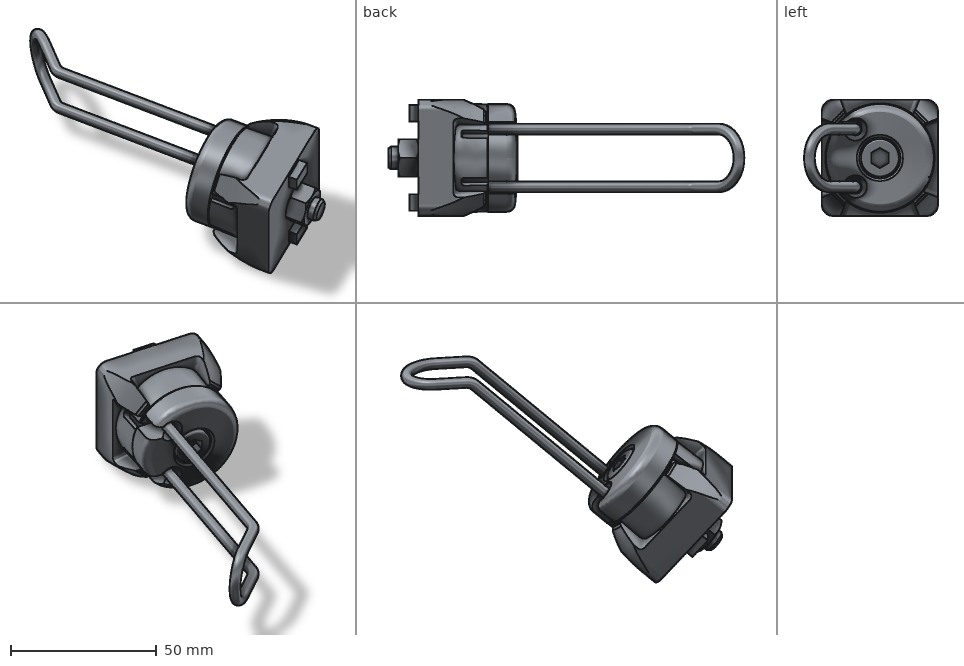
import cadquery as cq
import math

AXIS = cq.Vector(1, 0, 0)
MARGIN = 1.2

wire_diameter = 3.8
leg_y = 8.5
leg_z = 9.9
bail_front_x = -112.0
assembly_depth_y = 46.1
bend_angle = 45.0
bend_radius = 4.0

cap_radius = 18.6
cap_rear_x = -24.0
cap_front_x = -34.1
cap_cone_angle = 6.0
cap_rim_fillet = 3.0
slot_width = 4.4
slot_center_z = 10.2
wire_sink_diameter = 8.0
wire_sink_depth = 3.2
head_hole_radius = 7.1
head_lip_radius = 8.0

plate_side = 40.0
plate_front_x = -12.0
corner_radius = 4.0
collar_front_x = -23.6
collar_front_radius = 18.5
collar_rear_radius = 18.8
land_radius = 17.7
horn_tip_x = -23.1
horn_tip_radius = 19.6
horn_shoulder = (-22.4, 20.4)
horn_middle = (-15.3, 23.9)
horn_end = (-4.0, 26.5)
gap_half_width = 13.6
gap_flank_angle = 22.0
gap_floor_angle = 11.0
gap_depth = 9.2
gap_fillet = 1.8
groove_angle = 26.0
groove_width = 2.9
groove_depth = 2.5
groove_end_x = -14.8
groove_end_fillet = 1.0

lug_width = 8.1
lug_inner_z = 12.5
lug_outer_z = 18.2
lug_length = 3.0

screw_diameter = 8.0
screw_end_x = 10.3
screw_end_diameter = 6.6
screw_end_taper = 1.0
head_diameter = 13.0
head_length = 8.0
head_fillet = 0.7
socket_flats = 6.0
socket_depth = 4.0
nut_flats = 13.0
nut_length = 7.0
nut_chamfer_angle = 30.0


def cylinder_x(radius, x_start, x_end, y=0.0, z=0.0):
    """Cylinder along X between two x positions."""
    return cq.Workplane(cq.Solid.makeCylinder(radius, x_end - x_start, cq.Vector(x_start, y, z), AXIS))


def cone_x(radius_start, radius_end, x_start, x_end, y=0.0, z=0.0):
    """Truncated cone along X between two x positions."""
    return cq.Workplane(
        cq.Solid.makeCone(radius_start, radius_end, x_end - x_start, cq.Vector(x_start, y, z), AXIS)
    )


def hexagon_x(across_flats, x_start, x_end, turn):
    """Hexagonal prism along X, turned about the axis by an angle in degrees."""
    across_corners = across_flats / math.cos(math.radians(30))
    prism = cq.Workplane("YZ", origin=(x_start, 0, 0)).polygon(6, across_corners).extrude(x_end - x_start)
    return prism.rotate((0, 0, 0), (1, 0, 0), turn)


def block(x_range, y_range, z_range):
    """Box between pairs of limits."""
    sizes = [high - low for low, high in (x_range, y_range, z_range)]
    corner = cq.Vector(x_range[0], y_range[0], z_range[0])
    return cq.Workplane(cq.Solid.makeBox(*sizes, corner))


def make_bail():
    """U-shaped wire with two straight legs, its closed end bent up towards +Y."""
    slope = math.radians(bend_angle)
    apex_x = bail_front_x + wire_diameter / 2
    apex_y = assembly_depth_y - plate_side / 2 - wire_diameter / 2
    corner_x = apex_x + (apex_y - leg_y) / math.tan(slope)
    bend_tangent = bend_radius * math.tan(slope / 2)

    def on_slope(distance, z):
        return cq.Vector(corner_x - distance * math.cos(slope), leg_y + distance * math.sin(slope), z)

    def on_bend(z):
        bend_x = corner_x + bend_tangent - bend_radius * math.sin(slope / 2)
        return cq.Vector(bend_x, leg_y + bend_radius * (1 - math.cos(slope / 2)), z)

    slope_length = (apex_y - leg_y) / math.sin(slope) - leg_z
    edges = []
    for z in (leg_z, -leg_z):
        leg_end = cq.Vector(cap_rear_x, leg_y, z)
        bend_start = cq.Vector(corner_x + bend_tangent, leg_y, z)
        bend_end = on_slope(bend_tangent, z)
        edges.append(cq.Edge.makeLine(leg_end, bend_start))
        edges.append(cq.Edge.makeThreePointArc(bend_start, on_bend(z), bend_end))
        edges.append(cq.Edge.makeLine(bend_end, on_slope(slope_length, z)))
    edges.append(
        cq.Edge.makeThreePointArc(
            on_slope(slope_length, leg_z), cq.Vector(apex_x, apex_y, 0), on_slope(slope_length, -leg_z)
        )
    )
    path = cq.Wire.assembleEdges(edges)
    profile = cq.Workplane("YZ", origin=(cap_rear_x, leg_y, leg_z)).circle(wire_diameter / 2)
    return profile.sweep(cq.Workplane(path))


def make_cap():
    """Domed clamp cap with the screw recess and two side slots that take the wire legs."""
    cone_slope = math.tan(math.radians(cap_cone_angle))
    apex_x = cap_front_x - head_lip_radius * cone_slope
    rim_x = apex_x + cap_radius * cone_slope
    cap = (
        cq.Workplane("XY")
        .polyline([(cap_rear_x, 0), (cap_rear_x, cap_radius), (rim_x, cap_radius), (apex_x, 0)])
        .close()
        .revolve(360, (0, 0, 0), (1, 0, 0))
    )
    rim = cq.selectors.BoxSelector(
        (rim_x - MARGIN, -cap_radius - MARGIN, -cap_radius - MARGIN),
        (rim_x + MARGIN, cap_radius + MARGIN, cap_radius + MARGIN),
        boundingbox=True,
    )
    cap = cap.edges(rim).fillet(cap_rim_fillet)

    lip_depth = head_lip_radius - head_hole_radius
    cap = cap.cut(cylinder_x(head_lip_radius, apex_x, cap_front_x))
    cap = cap.cut(cone_x(head_lip_radius, head_hole_radius, cap_front_x, cap_front_x + lip_depth))
    cap = cap.cut(cylinder_x(head_hole_radius, cap_front_x, cap_front_x + head_length))
    cap = cap.cut(cylinder_x(screw_diameter / 2, cap_front_x, cap_rear_x))

    sink_x = apex_x + math.hypot(leg_y, leg_z) * cone_slope
    for side in (1, -1):
        z = side * leg_z
        slot_middle = side * slot_center_z
        slot_z = (slot_middle - slot_width / 2, slot_middle + slot_width / 2)
        cap = cap.cut(cylinder_x(slot_width / 2, apex_x, cap_rear_x, leg_y, slot_middle))
        cap = cap.cut(block((apex_x, cap_rear_x), (leg_y, cap_radius), slot_z))
        cap = cap.cut(cylinder_x(wire_sink_diameter / 2, apex_x, sink_x, leg_y, z))
        cap = cap.cut(
            cone_x(wire_sink_diameter / 2, slot_width / 2, sink_x, sink_x + wire_sink_depth, leg_y, z)
        )
    return cap


def make_gap():
    """Tapering space between two neighbouring horns, on the -Y side."""
    half_side = plate_side / 2
    front_x = horn_tip_x - MARGIN
    narrowing = gap_depth * math.tan(math.radians(gap_flank_angle))
    floor_rise = gap_depth * math.tan(math.radians(gap_floor_angle))

    def outline(y, floor_x, half_width):
        corners = [
            (floor_x, half_width), (floor_x, -half_width), (front_x, -half_width), (front_x, half_width)
        ]
        return cq.Wire.makePolygon([cq.Vector(x, y, z) for x, z in corners], close=True)

    outer = outline(-half_side, plate_front_x, gap_half_width)
    inner = outline(gap_depth - half_side, plate_front_x - floor_rise, gap_half_width - narrowing)
    loft = cq.Solid.makeLoft([outer, inner], True)
    middle_y = gap_depth / 2 - half_side
    floor_corners = cq.selectors.BoxSelector(
        (horn_tip_x, middle_y - MARGIN, -half_side), (plate_front_x, middle_y + MARGIN, half_side)
    )
    return cq.Workplane(loft).edges(floor_corners).fillet(gap_fillet)


def make_horned_plate():
    """Rounded square block whose front is cut into four tapering corner horns."""
    half_side = plate_side / 2
    plate = (
        cq.Workplane("YZ", origin=(horn_tip_x, 0, 0))
        .rect(plate_side, plate_side)
        .extrude(-horn_tip_x)
        .edges("|X")
        .fillet(corner_radius)
    )
    envelope = (
        cq.Workplane("XY")
        .moveTo(0, -horn_end[1])
        .lineTo(horn_end[0], -horn_end[1])
        .threePointArc((horn_middle[0], -horn_middle[1]), (horn_shoulder[0], -horn_shoulder[1]))
        .lineTo(horn_tip_x, -horn_tip_radius)
        .lineTo(horn_tip_x, horn_tip_radius)
        .lineTo(*horn_shoulder)
        .threePointArc(horn_middle, horn_end)
        .lineTo(0, horn_end[1])
        .close()
        .extrude(plate_side, both=True)
    )
    for turn in (45, -45):
        plate = plate.intersect(envelope.rotate((0, 0, 0), (1, 0, 0), turn))

    gap = make_gap()
    for quarter in range(4):
        plate = plate.cut(gap.rotate((0, 0, 0), (1, 0, 0), 90 * quarter))
    return plate


def make_base():
    """Horned plate joined to the collar, with four grooves and the screw hole."""
    collar = cone_x(collar_front_radius, collar_rear_radius, collar_front_x, plate_front_x)
    land = cylinder_x(land_radius, cap_rear_x, collar_front_x)
    base = make_horned_plate().union(collar).union(land)
    groove = block(
        (cap_rear_x, groove_end_x),
        (collar_front_radius - groove_depth, collar_rear_radius),
        (-groove_width / 2, groove_width / 2),
    )
    groove = groove.faces(">X").edges("|Y").fillet(groove_end_fillet)
    for turn in (groove_angle, -groove_angle, 180 - groove_angle, 180 + groove_angle):
        base = base.cut(groove.rotate((0, 0, 0), (1, 0, 0), turn))
    return base.cut(cylinder_x(screw_diameter / 2, cap_rear_x, 0))


def make_screw():
    """Socket head screw through cap, base and nut."""
    head = cylinder_x(head_diameter / 2, cap_front_x, cap_front_x + head_length)
    head = head.faces("<X").edges().fillet(head_fillet)
    taper_x = screw_end_x - screw_end_taper
    shank = cylinder_x(screw_diameter / 2, cap_front_x + head_length, taper_x)
    tip = cone_x(screw_diameter / 2, screw_end_diameter / 2, taper_x, screw_end_x)
    socket = hexagon_x(socket_flats, cap_front_x, cap_front_x + socket_depth, 90)
    return head.union(shank).union(tip).cut(socket)


def make_nut():
    """Hexagonal nut with its corners chamfered at both ends."""
    nut = hexagon_x(nut_flats, 0, nut_length, 0)
    reach = nut_length / math.tan(math.radians(nut_chamfer_angle))
    flat_radius = nut_flats / 2
    nut = nut.intersect(cone_x(flat_radius, flat_radius + reach, 0, nut_length))
    nut = nut.intersect(cone_x(flat_radius + reach, flat_radius, 0, nut_length))
    return nut.cut(cylinder_x(screw_diameter / 2, 0, nut_length))


def make_lug(side):
    """Rectangular locating lug on the rear face, above or below the nut."""
    z_range = sorted((side * lug_inner_z, side * lug_outer_z))
    return block((0, lug_length), (-lug_width / 2, lug_width / 2), z_range)


bail = make_bail()
cap = make_cap()
base = make_base()
screw = make_screw()
nut = make_nut()
lugs = [make_lug(side) for side in (1, -1)]

result = cq.Compound.makeCompound(
    [bail.val(), cap.val(), base.val(), screw.val(), nut.val(), *[lug.val() for lug in lugs]]
)